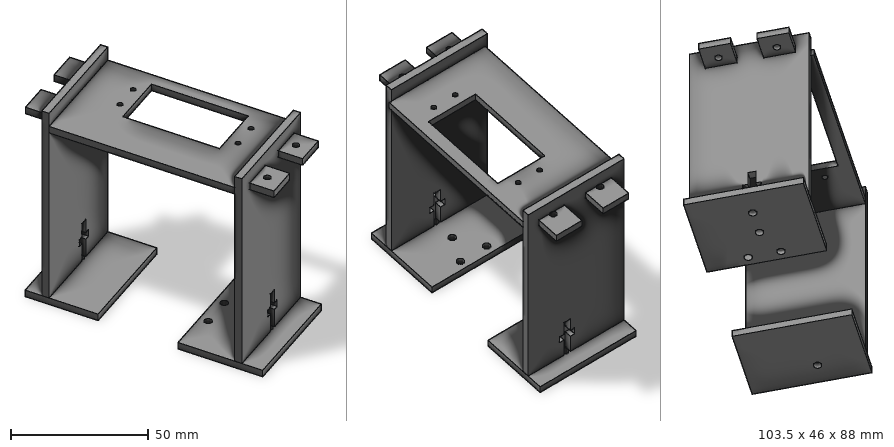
import cadquery as cq

SHEET = 3.0
DEPTH = 45.0
RIGHT_SHIFT = 1.0

SHELF_LENGTH = 103.5
SHELF_BOTTOM = 79.0
TAB_LENGTH = 10.0
TAB_WIDTH = 12.0
TAB_GAP = 9.9
TAB_BACK_MARGIN = 5.1
TAB_HOLE_DIAMETER = 2.7
LEFT_TAB_HOLE_X = 9.1
RIGHT_TAB_HOLE_X = 97.5

WINDOW_LENGTH = 40.1
WINDOW_WIDTH = 22.0
WINDOW_CENTER_X = 53.9
WINDOW_CENTER_Y = DEPTH - TAB_BACK_MARGIN - WINDOW_WIDTH / 2
SERVO_HOLE_DIAMETER = 2.1
SERVO_HOLE_SPACING_X = 48.9
SERVO_HOLE_SPACING_Y = 10.0

WALL_HEIGHT = 85.0
LEFT_WALL_X = TAB_LENGTH
RIGHT_WALL_X = SHELF_LENGTH - TAB_LENGTH - SHEET
SCREW_SLOT_WIDTH = SHEET
SCREW_SLOT_HEIGHT = 17.1
NUT_SLOT_WIDTH = 7.0
NUT_SLOT_HEIGHT = SHEET
NUT_SLOT_BOTTOM = 8.0
LEFT_SLOT_Y = 26.7
RIGHT_SLOT_Y = 22.5

LEFT_BASE_X = 3.1
LEFT_BASE_LENGTH = 30.2
RIGHT_BASE_X = 67.0
RIGHT_BASE_LENGTH = 35.1
BASE_HOLE_DIAMETER = 3.0
INNER_HOLE_OFFSET = 10.1
EDGE_HOLE_MARGIN = 3.6
EDGE_HOLE_FRONT_Y = 15.4
EDGE_HOLE_BACK_Y = 27.7


def box(x, y, z, length, depth, height):
    """Box with its lowest corner at (x, y, z)."""
    return cq.Workplane("XY").box(length, depth, height, centered=False).translate((x, y, z))


def vertical_holes(points, diameter, bottom):
    """Cylinders one sheet long that cut holes through a horizontal panel."""
    return cq.Workplane("XY").workplane(offset=bottom).pushPoints(points).circle(diameter / 2).extrude(SHEET)


def tab_front_edges(panel_front):
    """Y of the front edge of the back tab and of the front tab."""
    back_tab = panel_front + DEPTH - TAB_BACK_MARGIN - TAB_WIDTH
    return [back_tab, back_tab - TAB_WIDTH - TAB_GAP]


def make_shelf():
    inner_left = LEFT_WALL_X + SHEET
    shelf = box(inner_left, 0, SHELF_BOTTOM, RIGHT_WALL_X - inner_left, DEPTH, SHEET)

    tab_reach = TAB_LENGTH + SHEET
    tab_holes = []
    for tab_x, hole_x, panel_front in (
        (0, LEFT_TAB_HOLE_X, 0),
        (RIGHT_WALL_X, RIGHT_TAB_HOLE_X, -RIGHT_SHIFT),
    ):
        for y in tab_front_edges(panel_front):
            shelf = shelf.union(box(tab_x, y, SHELF_BOTTOM, tab_reach, TAB_WIDTH, SHEET))
            tab_holes.append((hole_x, y + TAB_WIDTH / 2))
    shelf = shelf.cut(vertical_holes(tab_holes, TAB_HOLE_DIAMETER, SHELF_BOTTOM))

    window_x = WINDOW_CENTER_X - WINDOW_LENGTH / 2
    window_y = WINDOW_CENTER_Y - WINDOW_WIDTH / 2
    shelf = shelf.cut(box(window_x, window_y, SHELF_BOTTOM, WINDOW_LENGTH, WINDOW_WIDTH, SHEET))
    servo_holes = [
        (WINDOW_CENTER_X + half_x, WINDOW_CENTER_Y + half_y)
        for half_x in (-SERVO_HOLE_SPACING_X / 2, SERVO_HOLE_SPACING_X / 2)
        for half_y in (-SERVO_HOLE_SPACING_Y / 2, SERVO_HOLE_SPACING_Y / 2)
    ]
    return shelf.cut(vertical_holes(servo_holes, SERVO_HOLE_DIAMETER, SHELF_BOTTOM))


def make_wall(x, front, slot_y):
    wall = box(x, front, SHEET, SHEET, DEPTH, WALL_HEIGHT)

    for y in tab_front_edges(front):
        wall = wall.cut(box(x, y, SHELF_BOTTOM, SHEET, TAB_WIDTH, SHEET))

    screw_slot = box(x, slot_y - SCREW_SLOT_WIDTH / 2, SHEET, SHEET, SCREW_SLOT_WIDTH, SCREW_SLOT_HEIGHT)
    nut_bottom = SHEET + NUT_SLOT_BOTTOM
    nut_slot = box(x, slot_y - NUT_SLOT_WIDTH / 2, nut_bottom, SHEET, NUT_SLOT_WIDTH, NUT_SLOT_HEIGHT)
    return wall.cut(screw_slot).cut(nut_slot)


def make_base(x, front, length, holes):
    base = box(x, front, 0, length, DEPTH, SHEET)
    return base.cut(vertical_holes(holes, BASE_HOLE_DIAMETER, 0))


left_wall_middle = LEFT_WALL_X + SHEET / 2
right_wall_middle = RIGHT_WALL_X + SHEET / 2
edge_hole_x = RIGHT_BASE_X + EDGE_HOLE_MARGIN
left_base_holes = [(left_wall_middle, LEFT_SLOT_Y)]
right_base_holes = [
    (right_wall_middle, RIGHT_SLOT_Y),
    (right_wall_middle - INNER_HOLE_OFFSET, RIGHT_SLOT_Y),
    (edge_hole_x, EDGE_HOLE_FRONT_Y),
    (edge_hole_x, EDGE_HOLE_BACK_Y),
]

shelf = make_shelf()
left_wall = make_wall(LEFT_WALL_X, 0, LEFT_SLOT_Y)
right_wall = make_wall(RIGHT_WALL_X, -RIGHT_SHIFT, RIGHT_SLOT_Y)
left_base = make_base(LEFT_BASE_X, 0, LEFT_BASE_LENGTH, left_base_holes)
right_base = make_base(RIGHT_BASE_X, -RIGHT_SHIFT, RIGHT_BASE_LENGTH, right_base_holes)

result = cq.Compound.makeCompound([
    shelf.val(),
    left_wall.val(),
    right_wall.val(),
    left_base.val(),
    right_base.val(),
])